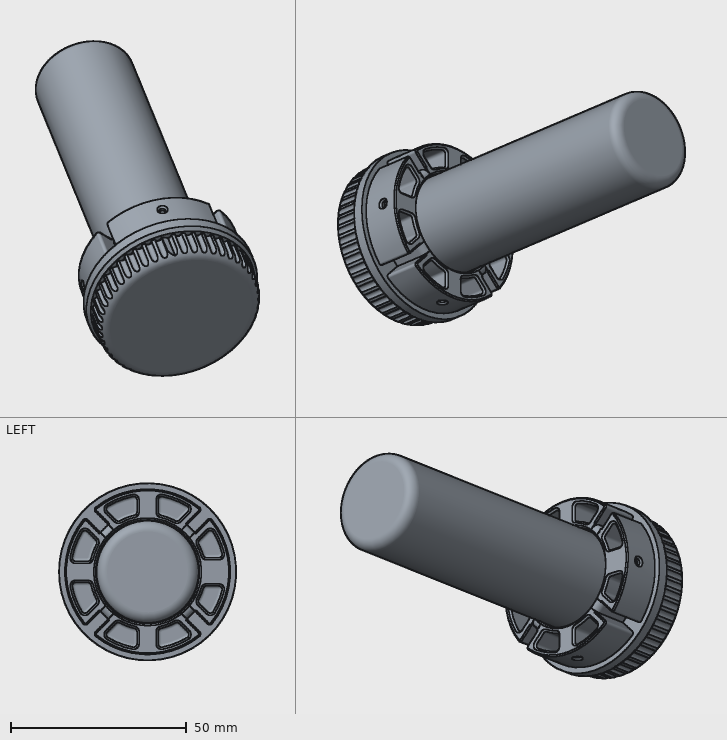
import cadquery as cq
import math


rod_diameter = 29.0
rod_length = 97.2
rod_tip_radius = 3.0

collar_radius = 23.5
collar_length = 11.8
collar_edge_chamfer = 0.4
flange_radius = 25.2
flange_thickness = 4.2
flange_chamfer = 1.0
bore_diameter = 29.5
bore_chamfer = 0.55
flange_front = rod_length - flange_thickness
collar_front = flange_front - collar_length

slot_width = 3.2
slot_floor_radius = 17.4
slot_floor_rounding = 2.0
slot_corner_radius = 0.8
slot_angles = [45, 135, 225, 315]

pocket_inner_radius = 16.5
pocket_outer_radius = 21.8
pocket_depth = 10.0
pocket_corner_radius = 1.0
pocket_floor_radius = 0.9
pocket_mouth_chamfer = 0.6
pocket_to_slot_centre = 4.0
pocket_to_sector_centre = 3.0
pocket_to_wide_sector_centre = 4.0

hole_diameter = 2.0
hole_mouth_diameter = 3.2
hole_depth = 1.4
hole_setback = 4.9
sector_angles = [0, 90, 180, 270]
wide_sector_angle = 180

knob_radius = 23.8
knob_length = 8.8
knob_rounding = 2.9
knob_neck_length = 0.3
knob_neck_radius = 22.5
flute_count = 50
flute_radius = 1.0
flute_centre_radius = 23.95
index_facet_angle = 97.9
index_facet_width = 1.9
index_facet_tilt = 32.0


def axial_cylinder(radius, start, length):
    """Cylinder along X from X = start."""
    return cq.Workplane("YZ", origin=(start, 0, 0)).circle(radius).extrude(length)


def about_axis(body, angle):
    """Turn a body about the X axis, from +Y towards +Z."""
    return body.rotate((0, 0, 0), (1, 0, 0), angle)


def make_rod():
    rod = axial_cylinder(rod_diameter / 2, 0, rod_length)
    return rod.faces("<X").edges().fillet(rod_tip_radius)


def slot_cutter():
    """Slot along +Y with a flat floor, open at the rim."""
    slot_height = flange_radius - slot_floor_radius
    slot = cq.Workplane("XY").box(collar_length, slot_height, slot_width, centered=(False, False, True))
    return slot.translate((collar_front, slot_floor_radius, 0))


def slot_rounding_cutter():
    """Waste above the curve that rolls the slot floor over onto the collar face."""
    outline = (
        cq.Workplane("XY")
        .moveTo(collar_front, slot_floor_radius - slot_floor_rounding)
        .radiusArc((collar_front + slot_floor_rounding, slot_floor_radius), slot_floor_rounding)
        .lineTo(collar_front, slot_floor_radius)
        .close()
    )
    return outline.extrude(slot_width / 2, both=True)


def pocket_cutter(sector_offset):
    """Pocket between the +Y sector centre line and the slot at 45 degrees above it."""

    def sector_corner(radius):
        angle = math.asin(sector_offset / radius)
        return (radius * math.cos(angle), radius * math.sin(angle))

    def slot_corner(radius):
        angle = math.radians(slot_angles[0]) - math.asin(pocket_to_slot_centre / radius)
        return (radius * math.cos(angle), radius * math.sin(angle))

    pocket = (
        cq.Workplane("YZ", origin=(collar_front, 0, 0))
        .moveTo(*sector_corner(pocket_inner_radius))
        .lineTo(*sector_corner(pocket_outer_radius))
        .radiusArc(slot_corner(pocket_outer_radius), -pocket_outer_radius)
        .lineTo(*slot_corner(pocket_inner_radius))
        .radiusArc(sector_corner(pocket_inner_radius), pocket_inner_radius)
        .close()
        .extrude(pocket_depth)
    )
    pocket = pocket.edges("|X").fillet(pocket_corner_radius)
    return pocket.faces(">X").edges().fillet(pocket_floor_radius)


def radial_hole_cutter():
    """Countersunk hole along +Y, open beyond the rim."""
    bottom = collar_radius - hole_depth
    sink_top = flange_radius
    sink_bottom = collar_radius - (hole_mouth_diameter - hole_diameter) / 2
    hole_x = collar_front + hole_setback
    outline = (
        cq.Workplane("XY")
        .moveTo(hole_x, bottom)
        .lineTo(hole_x + hole_diameter / 2, bottom)
        .lineTo(hole_x + hole_diameter / 2, sink_bottom)
        .lineTo(hole_x + hole_diameter / 2 + sink_top - sink_bottom, sink_top)
        .lineTo(hole_x, sink_top)
        .close()
    )
    return outline.revolve(360, (hole_x, 0, 0), (hole_x, 1, 0))


def bore_cutter():
    """Through bore for the rod, chamfered at the collar face."""
    bore_radius = bore_diameter / 2
    outline = (
        cq.Workplane("XY")
        .moveTo(collar_front, 0)
        .lineTo(collar_front, bore_radius + bore_chamfer)
        .lineTo(collar_front + bore_chamfer, bore_radius)
        .lineTo(rod_length, bore_radius)
        .lineTo(rod_length, 0)
        .close()
    )
    return outline.revolve(360, (0, 0, 0), (1, 0, 0))


def outer_edges(edges, radius):
    """Those of the edges whose middle lies further than the radius from the X axis."""

    def distance_from_axis(edge):
        middle = edge.positionAt(0.5)
        return math.hypot(middle.y, middle.z)

    return [edge for edge in edges.vals() if distance_from_axis(edge) > radius]


def make_collar():
    sleeve = axial_cylinder(collar_radius, collar_front, collar_length)
    for angle in slot_angles:
        sleeve = sleeve.cut(about_axis(slot_cutter(), angle))
    sleeve = sleeve.newObject(outer_edges(sleeve.edges("|X"), pocket_outer_radius)).fillet(slot_corner_radius)
    face_edges = outer_edges(sleeve.faces("<X").edges(), slot_floor_radius + collar_edge_chamfer)
    sleeve = sleeve.newObject(face_edges).chamfer(collar_edge_chamfer)
    for angle in slot_angles:
        sleeve = sleeve.cut(about_axis(slot_rounding_cutter(), angle))

    flange = axial_cylinder(flange_radius, flange_front, flange_thickness)
    flange = flange.faces(">X").edges().chamfer(flange_chamfer)
    collar = sleeve.union(flange)
    for angle in sector_angles:
        offset = pocket_to_wide_sector_centre if angle == wide_sector_angle else pocket_to_sector_centre
        pocket = pocket_cutter(offset)
        collar = collar.cut(about_axis(pocket, angle))
        collar = collar.cut(about_axis(pocket.mirror("XY"), angle))
    pocket_mouths = collar.faces("<X").val().innerWires()
    collar = collar.newObject(pocket_mouths).chamfer(pocket_mouth_chamfer)
    for angle in sector_angles:
        collar = collar.cut(about_axis(radial_hole_cutter(), angle))
    return collar.cut(bore_cutter())


def index_facet_cutter():
    """Waste above a tilted flat that takes off one ridge and runs into the flute beside it."""
    facet = cq.Workplane("XY").box(knob_length, flute_radius, index_facet_width, centered=False)
    facet = about_axis(facet.translate((0, 0, -index_facet_width)), -index_facet_tilt)
    return facet.translate((rod_length + knob_neck_length, knob_radius, 0))


def make_knob():
    grip_start = rod_length + knob_neck_length
    grip_length = knob_length - knob_neck_length
    grip = axial_cylinder(knob_radius, grip_start, grip_length)
    grip = grip.faces(">X").edges().fillet(knob_rounding)
    flute = axial_cylinder(flute_radius, grip_start, grip_length).translate((0, flute_centre_radius, 0))
    angles = [i * 360 / flute_count for i in range(flute_count)]
    flutes = [about_axis(flute, angle).val() for angle in angles]
    grip = grip.cut(cq.Workplane(obj=cq.Compound.makeCompound(flutes)))
    grip = grip.cut(about_axis(index_facet_cutter(), index_facet_angle))
    knob = grip.union(axial_cylinder(knob_neck_radius, rod_length, knob_neck_length))
    return knob


rod = make_rod()
collar = make_collar()
knob = make_knob()
result = cq.Compound.makeCompound([rod.val(), collar.val(), knob.val()])